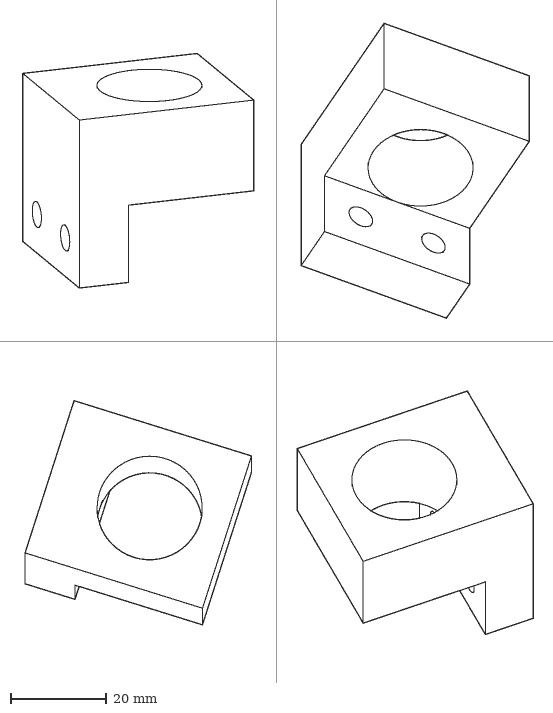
import cadquery as cq

width = 34.0
depth = 39.0
height = 37.0

head_height = 20.0
leg_thickness = 11.0
leg_drop = height - head_height

bore_diameter = 22.0
bore_y = depth - width / 2

mount_diameter = 5.5
mount_spacing = width / 2
mount_z = leg_drop / 2


def make_body():
    """L-shaped body: front face at Y = 0, bottom at Z = 0, centred on X."""
    profile = [
        (0, 0),
        (leg_thickness, 0),
        (leg_thickness, leg_drop),
        (depth, leg_drop),
        (depth, height),
        (0, height),
    ]
    return cq.Workplane("YZ").polyline(profile).close().extrude(width / 2, both=True)


def make_bore():
    """Cutter for the vertical through bore in the upper block."""
    return cq.Workplane("XY").center(0, bore_y).circle(bore_diameter / 2).extrude(height)


def make_mount_hole(x):
    """Cutter for one mounting hole through the leg along Y."""
    return cq.Workplane("XZ").center(x, mount_z).circle(mount_diameter / 2).extrude(-leg_thickness)


result = make_body().cut(make_bore())
for side in (-1, 1):
    result = result.cut(make_mount_hole(side * mount_spacing / 2))